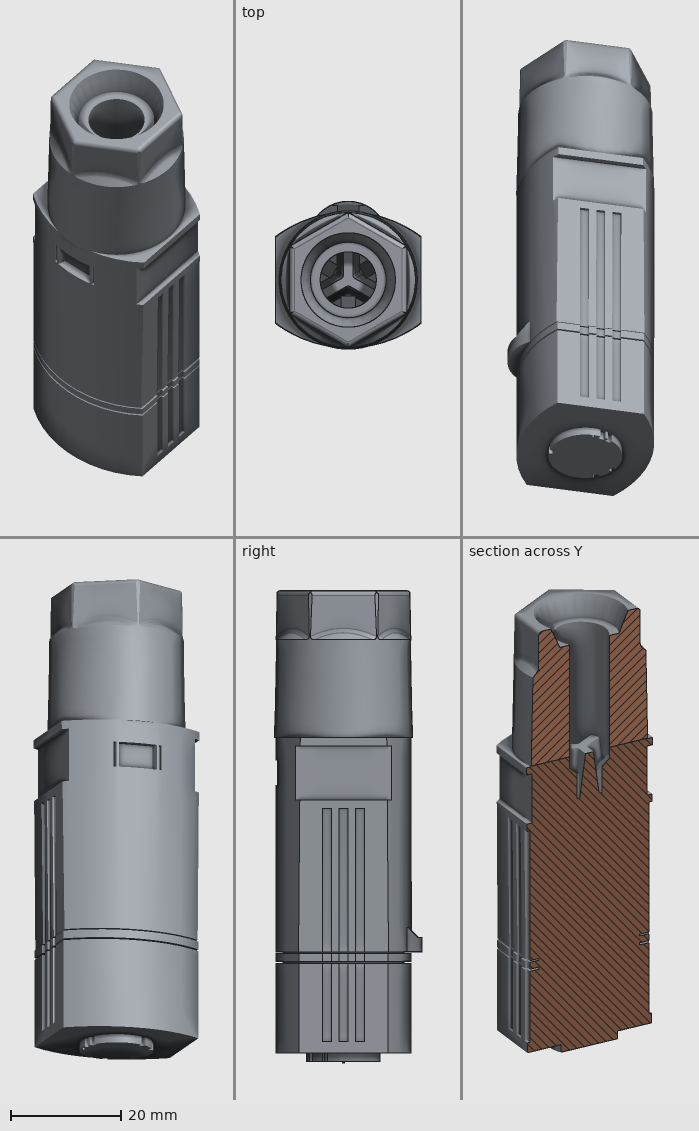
import cadquery as cq
import math

NUT_TOP = 85.85
HEX_BASE = 76.9
HOUSING_TOP = 59.15
SHELL_BOTTOM = 20.2
SLEEVE_BOTTOM = 1.8

NUT_BASE_RADIUS = 25.15 / 2
NUT_TOP_RADIUS = 24.1 / 2
HEX_ACROSS_FLATS = 21.3
HEX_EDGE_ROUND = 0.9
RAMP_FILLET = 1.1
EDGE_MARGIN = 0.1
CABLE_BORE_RADIUS = 10.2 / 2
FUNNEL_TOP_RADIUS = 8.6
FUNNEL_FLOOR_RADIUS = 6.9
FUNNEL_DEPTH = 4.1

SIDE_ARC_RADIUS = 21.8
BODY_HALF_DEPTH = 24.6 / 2
SHELL_TOP_HALF_WIDTH = 13.2
SHELL_BOTTOM_HALF_WIDTH = 12.8
SLEEVE_HALF_WIDTH = 13.0

RING_GROOVES = [(18.1, 18.5), (19.9, SHELL_BOTTOM)]
GROOVE_CORE_RADIUS = 11.0

RECESS_HALF_WIDTH = 24.1 / 2
RECESS_BOTTOM = 47.8
RECESS_TOP = 57.6

GRIP_COUNT = 3
GRIP_PITCH = 3.0
GRIP_WIDTH = 1.6
GRIP_DEPTH = 0.5
GRIP_BOTTOM = 3.9
GRIP_TOP = 46.3

POCKET_BOTTOM = 50.4
POCKET_TOP = 55.0
POCKET_HALF_MOUTH = 3.8
POCKET_HALF_FLOOR = 3.3
POCKET_DEPTH = 1.7
LATCH_GROOVE_OUTER = 4.6
LATCH_GROOVE_INNER = 4.0
LATCH_GROOVE_FLOOR = 4.3
LATCH_GROOVE_DEPTH = 1.55

OVERALL_DEPTH = 26.9
TONGUE_REACH = OVERALL_DEPTH - NUT_BASE_RADIUS
TONGUE_RADIUS = 7.3
TONGUE_LEDGE = 22.8
TONGUE_TOP = 24.6
TONGUE_SLOPE_START = 13.6
TONGUE_NOTCH_WIDTH = 3.95

CHAMBER_COUNT = 3
CHAMBER_DEPTH = 8.6
CHAMBER_DRAFT = 8
WEB_WIDTH = 1.7
WEB_ROUND = 0.9
WEDGE_WIDTH = 2.7
WEDGE_INNER_RADIUS = 2.9

INSERT_RADIUS = 6.7
INSERT_BOTTOM = 0.3
INSERT_NOTCH_ANGLES = [90, 196, 210, 298, 330]
INSERT_NOTCH_WIDTH = 1.0
INSERT_NOTCH_DEPTH = 0.7
PIP_SIZE = 0.35


def plate(width, depth, bottom, top, x=0, y=0):
    """Upright box centred on (x, y) between two heights."""
    return cq.Workplane("XY", origin=(x, y, bottom)).rect(width, depth).extrude(top - bottom)


def disc(radius, bottom, top):
    return cq.Workplane("XY", origin=(0, 0, bottom)).circle(radius).extrude(top - bottom)


def barrel(half_width, bottom, top):
    """Flat-sided column with arcs toward the front and the back."""
    arc_rise = SIDE_ARC_RADIUS - math.sqrt(SIDE_ARC_RADIUS**2 - half_width**2)
    corner = BODY_HALF_DEPTH - arc_rise
    return (
        cq.Workplane("XY", origin=(0, 0, bottom))
        .moveTo(-half_width, -corner)
        .threePointArc((0, -BODY_HALF_DEPTH), (half_width, -corner))
        .lineTo(half_width, corner)
        .threePointArc((0, BODY_HALF_DEPTH), (-half_width, corner))
        .close()
        .extrude(top - bottom)
    )


def make_shell():
    """Upper column whose flat sides lean inward toward the bottom."""
    leaning_sides = (
        cq.Workplane("XZ", origin=(0, BODY_HALF_DEPTH, 0))
        .polyline([
            (-SHELL_BOTTOM_HALF_WIDTH, SHELL_BOTTOM),
            (SHELL_BOTTOM_HALF_WIDTH, SHELL_BOTTOM),
            (SHELL_TOP_HALF_WIDTH, HOUSING_TOP),
            (-SHELL_TOP_HALF_WIDTH, HOUSING_TOP),
        ])
        .close()
        .extrude(2 * BODY_HALF_DEPTH)
    )
    return barrel(SHELL_TOP_HALF_WIDTH, SHELL_BOTTOM, HOUSING_TOP).intersect(leaning_sides)


def make_nut():
    nut_height = NUT_TOP - HOUSING_TOP
    rim_share = (HEX_BASE - HOUSING_TOP) / nut_height
    rim_radius = NUT_BASE_RADIUS + (NUT_TOP_RADIUS - NUT_BASE_RADIUS) * rim_share
    ramp_end = HEX_BASE + rim_radius - FUNNEL_TOP_RADIUS

    skirt = (
        cq.Workplane("XZ")
        .moveTo(0, HOUSING_TOP)
        .lineTo(NUT_BASE_RADIUS, HOUSING_TOP)
        .lineTo(rim_radius, HEX_BASE)
        .lineTo(FUNNEL_TOP_RADIUS, ramp_end)
        .lineTo(0, ramp_end)
        .close()
        .revolve(360, (0, 0, 0), (0, 1, 0))
    )
    taper = (
        cq.Workplane("XZ")
        .moveTo(0, HOUSING_TOP)
        .lineTo(NUT_BASE_RADIUS, HOUSING_TOP)
        .lineTo(NUT_TOP_RADIUS, NUT_TOP)
        .lineTo(0, NUT_TOP)
        .close()
        .revolve(360, (0, 0, 0), (0, 1, 0))
    )
    hexagon = (
        cq.Workplane("XY", origin=(0, 0, HOUSING_TOP))
        .transformed(rotate=(0, 0, 30))
        .polygon(6, HEX_ACROSS_FLATS / math.cos(math.pi / 6))
        .extrude(nut_height)
        .faces(">Z").edges().fillet(HEX_EDGE_ROUND)
        .intersect(taper)
    )
    nut = skirt.union(hexagon)

    crest = HEX_BASE + rim_radius - HEX_ACROSS_FLATS / 2
    flat_roots = cq.selectors.BoxSelector(
        (-NUT_BASE_RADIUS, -NUT_BASE_RADIUS, HEX_BASE + EDGE_MARGIN),
        (NUT_BASE_RADIUS, NUT_BASE_RADIUS, crest + EDGE_MARGIN),
    )
    nut = nut.edges(flat_roots).fillet(RAMP_FILLET)

    funnel = (
        cq.Workplane("XY", origin=(0, 0, NUT_TOP))
        .circle(FUNNEL_TOP_RADIUS)
        .workplane(offset=-FUNNEL_DEPTH)
        .circle(FUNNEL_FLOOR_RADIUS)
        .loft()
    )
    return nut.cut(funnel).cut(disc(CABLE_BORE_RADIUS, HOUSING_TOP, NUT_TOP))


def make_tongue():
    height = TONGUE_TOP - SHELL_BOTTOM
    lobe = (
        cq.Workplane("XY", origin=(0, TONGUE_REACH - TONGUE_RADIUS, SHELL_BOTTOM))
        .circle(TONGUE_RADIUS)
        .extrude(height)
    )
    slope_run = TONGUE_TOP - TONGUE_LEDGE
    above_slope = (
        cq.Workplane("YZ", origin=(-TONGUE_RADIUS, 0, 0))
        .moveTo(TONGUE_SLOPE_START - slope_run, TONGUE_TOP)
        .lineTo(TONGUE_SLOPE_START, TONGUE_LEDGE)
        .lineTo(TONGUE_REACH, TONGUE_LEDGE)
        .lineTo(TONGUE_REACH, TONGUE_TOP)
        .close()
        .extrude(2 * TONGUE_RADIUS)
    )
    notch_depth = TONGUE_REACH - BODY_HALF_DEPTH
    notch = plate(TONGUE_NOTCH_WIDTH, notch_depth, TONGUE_LEDGE, TONGUE_TOP,
                  y=TONGUE_REACH - notch_depth / 2)
    return lobe.cut(above_slope).cut(notch)


def make_latch_pocket():
    """Tapered pocket and the two grooves beside it, as one cutting tool."""
    mouth = -BODY_HALF_DEPTH
    pocket_floor = mouth + POCKET_DEPTH
    groove_floor = mouth + LATCH_GROOVE_DEPTH
    height = POCKET_TOP - POCKET_BOTTOM
    base = cq.Workplane("XY", origin=(0, 0, POCKET_BOTTOM))
    pocket = (
        base.moveTo(-POCKET_HALF_MOUTH, mouth)
        .lineTo(POCKET_HALF_MOUTH, mouth)
        .lineTo(POCKET_HALF_FLOOR, pocket_floor)
        .lineTo(-POCKET_HALF_FLOOR, pocket_floor)
        .close()
        .extrude(height)
    )
    groove = (
        base.moveTo(LATCH_GROOVE_OUTER, mouth)
        .lineTo(LATCH_GROOVE_OUTER, groove_floor)
        .lineTo(LATCH_GROOVE_FLOOR, groove_floor)
        .lineTo(LATCH_GROOVE_INNER, mouth)
        .close()
        .extrude(height)
    )
    return pocket.add(groove).add(groove.mirror("YZ")).combine()


def make_chamber():
    """Sector toward -Y, narrowing downward, with a 45 degree wedge left on its outer wall."""
    floor = HOUSING_TOP - CHAMBER_DEPTH
    half_sector = math.pi / CHAMBER_COUNT
    apex = WEB_WIDTH / 2 / math.sin(half_sector)
    reach = 2 * CABLE_BORE_RADIUS
    side_x = reach * math.sin(half_sector)
    side_y = -apex - reach * math.cos(half_sector)
    sector = (
        cq.Workplane("XY", origin=(0, 0, HOUSING_TOP))
        .polyline([
            (0, -apex),
            (side_x, side_y),
            (side_x, -2 * reach),
            (-side_x, -2 * reach),
            (-side_x, side_y),
        ])
        .close()
        .extrude(-CHAMBER_DEPTH, taper=CHAMBER_DRAFT)
        .edges(cq.selectors.NearestToPointSelector((0, -apex, HOUSING_TOP - CHAMBER_DEPTH / 2)))
        .fillet(WEB_ROUND)
        .intersect(disc(CABLE_BORE_RADIUS, floor, HOUSING_TOP))
    )
    wedge_run = CABLE_BORE_RADIUS - WEDGE_INNER_RADIUS
    wedge_low = HOUSING_TOP - CHAMBER_DEPTH / 2
    wedge = (
        cq.Workplane("YZ", origin=(-WEDGE_WIDTH / 2, 0, 0))
        .moveTo(-WEDGE_INNER_RADIUS, floor)
        .lineTo(-WEDGE_INNER_RADIUS, wedge_low)
        .lineTo(-CABLE_BORE_RADIUS, wedge_low + wedge_run)
        .lineTo(-CABLE_BORE_RADIUS, floor)
        .close()
        .extrude(WEDGE_WIDTH)
    )
    return sector.cut(wedge)


def make_insert_end():
    insert = disc(INSERT_RADIUS, INSERT_BOTTOM, SLEEVE_BOTTOM)
    notch = plate(2 * INSERT_NOTCH_DEPTH, INSERT_NOTCH_WIDTH, INSERT_BOTTOM, SLEEVE_BOTTOM, x=INSERT_RADIUS)
    for angle in INSERT_NOTCH_ANGLES:
        insert = insert.cut(notch.rotate((0, 0, 0), (0, 0, 1), angle))
    pip = plate(PIP_SIZE, PIP_SIZE, 0, SLEEVE_BOTTOM, x=-INSERT_RADIUS + PIP_SIZE)
    return insert.union(pip)


def make_housing():
    sleeve = barrel(SLEEVE_HALF_WIDTH, SLEEVE_BOTTOM, SHELL_BOTTOM)
    housing = make_shell().union(make_tongue()).union(sleeve)

    for bottom, top in RING_GROOVES:
        outer = plate(2 * SHELL_TOP_HALF_WIDTH, 2 * SHELL_TOP_HALF_WIDTH, bottom, top)
        housing = housing.cut(outer.cut(disc(GROOVE_CORE_RADIUS, bottom, top)))

    recess_depth = SHELL_TOP_HALF_WIDTH - RECESS_HALF_WIDTH
    for side in (-1, 1):
        recess_x = side * (RECESS_HALF_WIDTH + recess_depth / 2)
        housing = housing.cut(
            plate(recess_depth, 2 * BODY_HALF_DEPTH, RECESS_BOTTOM, RECESS_TOP, x=recess_x)
        )
        for index in range(GRIP_COUNT):
            grip_y = (index - (GRIP_COUNT - 1) / 2) * GRIP_PITCH
            housing = housing.cut(
                plate(2 * GRIP_DEPTH, GRIP_WIDTH, GRIP_BOTTOM, GRIP_TOP,
                      x=side * SLEEVE_HALF_WIDTH, y=grip_y)
            )

    housing = housing.cut(make_latch_pocket())
    chamber = make_chamber()
    for index in range(CHAMBER_COUNT):
        housing = housing.cut(chamber.rotate((0, 0, 0), (0, 0, 1), index * 360 / CHAMBER_COUNT))
    return housing.union(make_insert_end())


nut = make_nut()
housing = make_housing()

result = cq.Compound.makeCompound([nut.solids().val(), housing.solids().val()])